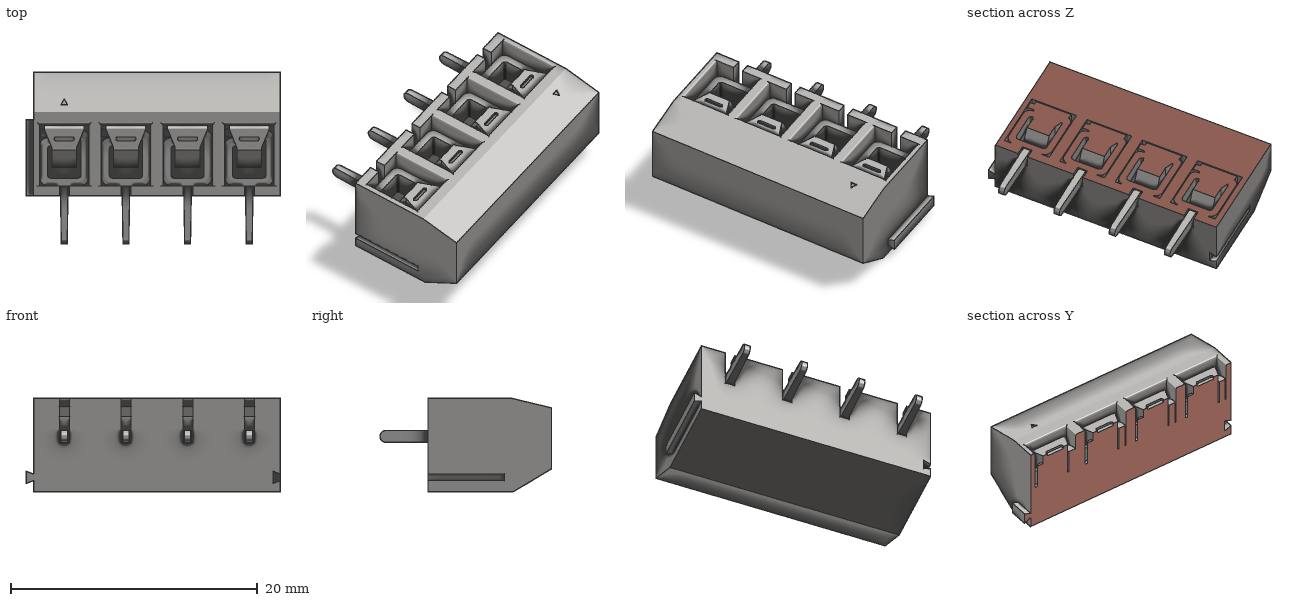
import cadquery as cq
import math


way_count = 4
row_length = 19.98
pitch = row_length / way_count
way_centre = 2.47

body_depth = 10.01
body_height = 7.6
top_bevel_y = 6.75
top_bevel_z = 6.82
bottom_bevel_y = 6.9
bottom_bevel_z = 1.87

dovetail_reach = 0.62
dovetail_root = 0.54
dovetail_tip = 1.0
dovetail_bottom = 0.68
dovetail_z = dovetail_bottom + dovetail_tip / 2
dovetail_length = 6.18

pocket_width = 4.4
pocket_front = 0.8
pocket_back = 5.95
rim_radius = 0.2
floor_z = 3.98
slot_width = 0.82
slot_shift = 0.02
wall_width = pocket_width - 2 * rim_radius
wall_back = pocket_back - rim_radius

cage_top = 6.12
cage_gap = 0.03
cage_width = wall_width - 2 * cage_gap
cage_back_corner = 0.54
cage_front_corner = 0.65
cage_back_left = 4.68
cage_half_offset = 0.62
cage_back_right = cage_back_left + cage_half_offset
cage_bar = 0.62
cage_hole_width = 2.7
cage_hole_corner = 0.27
ledge_front = 4.78
ledge_back = 5.4
ledge_width = 0.82
ledge_top = 5.35

tongue_top = 6.92
tongue_back = 5.7
tongue_back_radius = 0.33
tongue_back_width = 3.21
tongue_front_width = 2.02
tongue_bend_y = 3.69
tongue_bend_radius = 0.29
tongue_front = 2.3
tongue_taper_end = 3.91
obround_length = 1.63
obround_width = 0.33
obround_y = 4.61
obround_depth = 0.2

pin_length = 3.9
pin_base_height = 0.99
pin_tip_height = 0.97
pin_clearance = 0.03
pin_z = floor_z + pin_clearance + pin_base_height / 2
pin_base_width = 0.62
pin_tip_width = 0.5

mark_width = 0.52
mark_front = 7.4
mark_length = 0.47
mark_depth = 0.1


def box(x0, x1, y0, y1, z0, z1):
    """Box between two opposite corners."""
    return cq.Workplane("XY").box(x1 - x0, y1 - y0, z1 - z0, centered=False).translate((x0, y0, z0))


def rounded_block(half_width, front, back, height, front_corner, back_corner):
    """Block on the pocket floor, centred on x = 0, with rounded upright edges."""
    block = box(-half_width, half_width, front, back, floor_z, height)
    return block.edges("|Z and <Y").fillet(front_corner).edges("|Z and >Y").fillet(back_corner)


def make_housing():
    """Bevelled housing section, extruded along the row."""
    section = [
        (0, 0),
        (bottom_bevel_y, 0),
        (body_depth, bottom_bevel_z),
        (body_depth, top_bevel_z),
        (top_bevel_y, body_height),
        (0, body_height),
    ]
    return cq.Workplane("YZ").polyline(section).close().extrude(row_length)


def make_dovetail(root_x):
    """Dovetail bar that widens from root_x towards -X."""
    tip_x = root_x - dovetail_reach
    section = [
        (root_x, dovetail_z - dovetail_root / 2),
        (root_x, dovetail_z + dovetail_root / 2),
        (tip_x, dovetail_z + dovetail_tip / 2),
        (tip_x, dovetail_z - dovetail_tip / 2),
    ]
    return cq.Workplane("XZ").polyline(section).close().extrude(-dovetail_length)


def make_pocket():
    """Pocket of a way centred on x = 0, with a rounded rim on three sides, and its pin slot."""
    half_mouth = pocket_width / 2
    half_wall = wall_width / 2
    rim_bottom = body_height - rim_radius
    well = box(-half_wall, half_wall, pocket_front, wall_back, floor_z, body_height)
    mouth = box(-half_mouth, half_mouth, pocket_front, pocket_back, rim_bottom, body_height)
    back_round = cq.Workplane("YZ").center(pocket_back, rim_bottom).circle(rim_radius)
    mouth = mouth.cut(back_round.extrude(half_mouth, both=True))
    for side in (-1, 1):
        side_round = cq.Workplane("XZ").center(side * half_mouth, rim_bottom).circle(rim_radius)
        mouth = mouth.cut(side_round.extrude(-pocket_back))
    slot_left = slot_shift - slot_width / 2
    slot = box(slot_left, slot_left + slot_width, 0, pocket_front, floor_z, body_height)
    return well.union(mouth).union(slot)


def make_cage():
    """Cage as two offset halves around the wire opening, with a ledge behind the left half."""
    half_cage = cage_width / 2
    half_hole = cage_hole_width / 2
    hole_front = pocket_front + cage_bar
    left_side = box(-half_cage, 0, pocket_front, cage_back_left, floor_z, cage_top)
    right_side = box(0, half_cage, pocket_front, cage_back_right, floor_z, cage_top)
    halves = []
    for side, back in ((left_side, cage_back_left), (right_side, cage_back_right)):
        ring = rounded_block(half_cage, pocket_front, back, cage_top, cage_front_corner, cage_back_corner)
        hole = rounded_block(
            half_hole, hole_front, back - cage_bar, cage_top, cage_hole_corner, cage_hole_corner
        )
        halves.append(ring.cut(hole).intersect(side))
    ledge = box(-half_cage, ledge_width - half_cage, ledge_front, ledge_back, floor_z, ledge_top)
    cage = halves[0].union(halves[1])
    return cage.union(ledge)


def make_tongue():
    """Tapered tongue with a rounded back, a steep front slope and a sunk obround."""
    half_back = tongue_back_width / 2
    half_front = tongue_front_width / 2
    shoulder_y = tongue_back - tongue_back_radius
    profile = [
        (tongue_front, floor_z),
        (tongue_bend_y, tongue_top),
        (tongue_back, tongue_top),
        (tongue_back, floor_z),
    ]
    body = cq.Workplane("YZ").polyline(profile).close().extrude(half_back, both=True)
    body = body.edges("|X and >Y and >Z").fillet(tongue_back_radius)
    bend = cq.selectors.NearestToPointSelector((0, tongue_bend_y, tongue_top))
    body = body.edges(bend).fillet(tongue_bend_radius)
    outline = [
        (-half_back, tongue_back),
        (-half_back, shoulder_y),
        (-half_front, tongue_taper_end),
        (-half_front, tongue_front),
        (half_front, tongue_front),
        (half_front, tongue_taper_end),
        (half_back, shoulder_y),
        (half_back, tongue_back),
    ]
    body = body.intersect(cq.Workplane("XY").polyline(outline).close().extrude(body_height))
    obround = cq.Workplane("XY", origin=(0, obround_y, tongue_top - obround_depth))
    return body.cut(obround.slot2D(obround_length, obround_width).extrude(obround_depth))


def make_pin():
    """Pin with a rounded end, narrowing in width and slightly in height towards its tip."""
    half_base = pin_base_height / 2
    half_tip = pin_tip_height / 2
    tip_start = half_tip - pin_length
    side_profile = (
        cq.Workplane("YZ")
        .moveTo(pocket_front, pin_z - half_base)
        .lineTo(0, pin_z - half_base)
        .lineTo(tip_start, pin_z - half_tip)
        .threePointArc((-pin_length, pin_z), (tip_start, pin_z + half_tip))
        .lineTo(0, pin_z + half_base)
        .lineTo(pocket_front, pin_z + half_base)
        .close()
        .extrude(pin_base_width, both=True)
    )
    outline = [
        (-pin_base_width / 2, pocket_front),
        (-pin_base_width / 2, 0),
        (-pin_tip_width / 2, -pin_length),
        (pin_tip_width / 2, -pin_length),
        (pin_base_width / 2, 0),
        (pin_base_width / 2, pocket_front),
    ]
    return side_profile.intersect(cq.Workplane("XY").polyline(outline).close().extrude(body_height))


def make_mark():
    """Triangular recess square to the sloping top."""
    slope = math.atan2(body_height - top_bevel_z, body_depth - top_bevel_y)
    front_z = body_height - (mark_front - top_bevel_y) * math.tan(slope)
    face = cq.Plane(
        origin=(way_centre, mark_front, front_z),
        xDir=(1, 0, 0),
        normal=(0, math.sin(slope), math.cos(slope)),
    )
    triangle = [(-mark_width / 2, 0), (mark_width / 2, 0), (0, mark_length)]
    return cq.Workplane(face).polyline(triangle).close().extrude(-mark_depth)


pocket = make_pocket()
contact = make_cage().union(make_tongue()).union(make_pin())

result = make_housing().union(make_dovetail(0)).cut(make_dovetail(row_length)).cut(make_mark())
for way in range(way_count):
    place = (way_centre + way * pitch, 0, 0)
    result = result.cut(pocket.translate(place)).union(contact.translate(place))